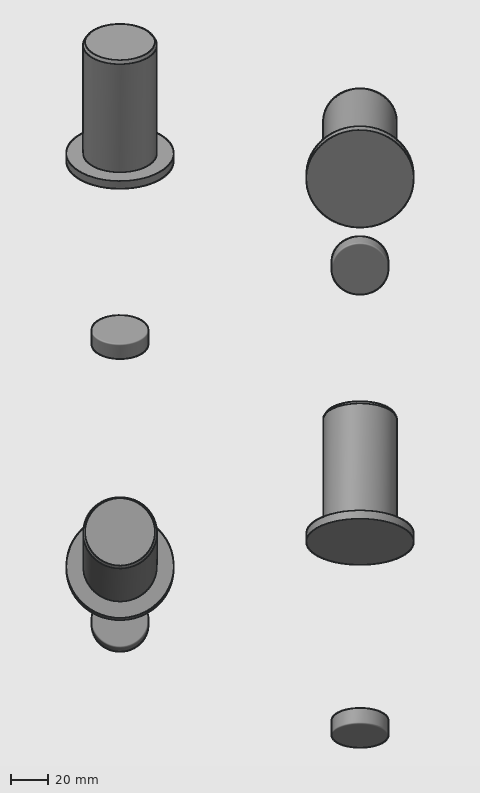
import cadquery as cq

total_height = 191.0

flange_diameter = 58.0
flange_thickness = 5.0
shank_diameter = 40.0
pin_height = 75.0
shank_chamfer_height = 2.0
shank_chamfer_inset = 1.1

disc_diameter = 31.0
disc_height = 9.7
disc_fillet = 0.8

pin_base = total_height - pin_height


def make_pin():
    """Flanged pin with a chamfered free end."""
    flange = cq.Workplane("XY").circle(flange_diameter / 2).extrude(flange_thickness)
    shank = (
        cq.Workplane("XY")
        .circle(shank_diameter / 2)
        .extrude(pin_height)
        .faces(">Z")
        .chamfer(shank_chamfer_height, shank_chamfer_inset)
    )
    return flange.union(shank).translate((0, 0, pin_base))


def make_disc():
    """Plain disc rounded on both rims."""
    return (
        cq.Workplane("XY")
        .circle(disc_diameter / 2)
        .extrude(disc_height)
        .faces("<Z or >Z")
        .fillet(disc_fillet)
    )


pin = make_pin()
disc = make_disc()

result = cq.Compound.makeCompound([pin.val(), disc.val()])